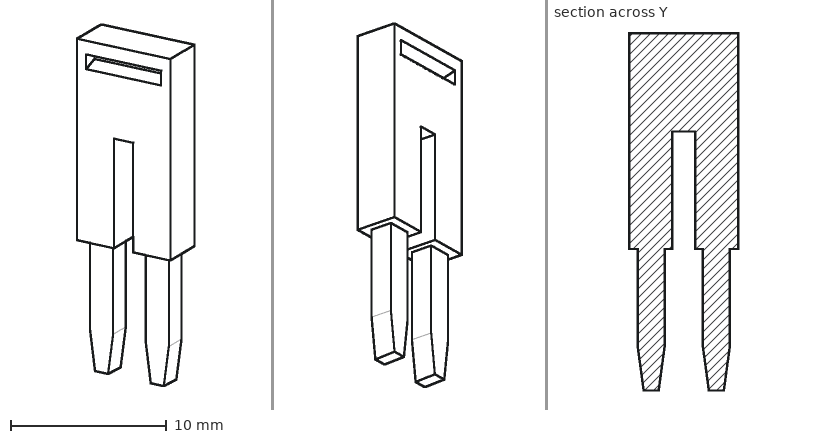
import cadquery as cq

total_height = 22.98
body_width = 7.0
body_depth = 3.0
body_height = 13.85
body_bottom = total_height - body_height

slot_width = 1.45
slot_height = 7.54

pin_spacing = 4.18
pin_width = 1.75
pin_depth = 1.59
tip_width = 0.97
tip_height = 2.87
tip_tilt = 0.07

recess_width = 5.6
recess_top = total_height - 0.95
recess_opening = 1.0
recess_depth = 1.0
recess_roof_drop = 0.28
recess_floor_rise = 0.37


def make_body():
    """Rectangular block with an open slot through its bottom."""
    block = cq.Workplane("XY").box(body_width, body_depth, body_height, centered=(True, True, False))
    slot = cq.Workplane("XY").box(slot_width, body_depth, slot_height, centered=(True, True, False))
    return block.cut(slot).translate((0, 0, body_bottom))


def make_pin(center_x):
    """Flat pin with tapered flanks and a slightly tilted end face."""
    half_width = pin_width / 2
    half_tip = tip_width / 2
    half_depth = pin_depth / 2
    pin = (
        cq.Workplane("XZ")
        .polyline([
            (-half_tip, 0),
            (half_tip, 0),
            (half_width, tip_height),
            (half_width, body_bottom),
            (-half_width, body_bottom),
            (-half_width, tip_height),
        ])
        .close()
        .extrude(half_depth, both=True)
    )
    end_trim = (
        cq.Workplane("YZ")
        .polyline([(-half_depth, 0), (half_depth, 0), (-half_depth, tip_tilt)])
        .close()
        .extrude(half_width, both=True)
    )
    return pin.cut(end_trim).translate((center_x, 0, 0))


def make_recess():
    """Cutter whose roof and floor close in from the front face to an upright back wall."""
    front = -body_depth / 2
    back = front + recess_depth
    recess_bottom = recess_top - recess_opening
    return (
        cq.Workplane("YZ")
        .polyline([
            (front, recess_top),
            (front, recess_bottom),
            (back, recess_bottom + recess_floor_rise),
            (back, recess_top - recess_roof_drop),
        ])
        .close()
        .extrude(recess_width / 2, both=True)
    )


result = make_body().cut(make_recess())
for side in (-1, 1):
    result = result.union(make_pin(side * pin_spacing / 2))